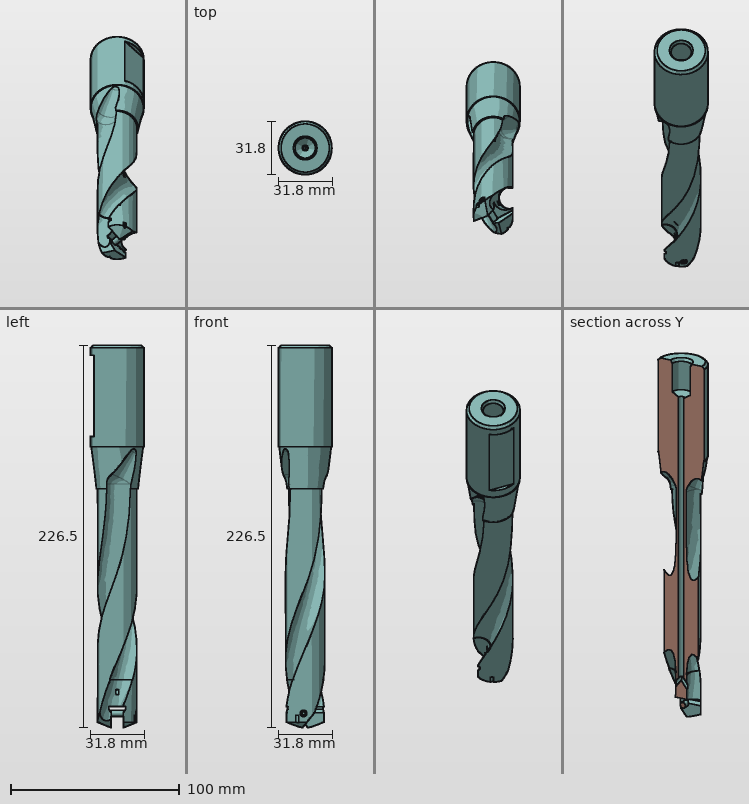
import cadquery as cq
import math

TOTAL_LENGTH = 226.53
SHANK_LENGTH = 60.0
CONE_LENGTH = 25.0
SHANK_BOTTOM = TOTAL_LENGTH - SHANK_LENGTH
CONE_BOTTOM = SHANK_BOTTOM - CONE_LENGTH

SHANK_RADIUS = 31.75 / 2
SHANK_CHAMFER = 1.6
CONE_TOP_RADIUS = 15.5
CONE_BOTTOM_RADIUS = 12.4
BODY_RADIUS = 11.7

FLAT_DEPTH = 2.0
FLAT_TOP = TOTAL_LENGTH - 6.0
FLAT_BOTTOM = SHANK_BOTTOM + 6.0

INLET_RADIUS = 6.0
INLET_DEPTH = 20.0
INLET_CHAMFER = 1.0
INLET_CHAMFER_DEPTH = 2.0
DRILL_POINT_SLOPE = math.tan(math.radians(31))
CHANNEL_RADIUS = 1.7
BRANCH_RADIUS = 1.0
BRANCH_OVERRUN = 3.0
BRANCH_TOP = 26.0
BRANCH_EXIT = 21.5

FLUTE_COUNT = 2
FLUTE_RADIUS = 7.2
FLUTE_OFFSET = 10.7
FLUTE_TOP = 144.5
FLUTE_STEP = 28.5
TIP_FLUTE_RADIUS = 6.9
FLUTE_BOTTOM = -4.0
FLUTE_START_ANGLE = 185.0
FLUTE_TWIST_RATE = 2.08
TWIST_RAMP_LENGTH = 68.0

RUNOUT_END_RADIUS = 3.0
RUNOUT_END_Z = 162.5
RUNOUT_END_X = -13.0
RUNOUT_END_Y = -10.6

SLOT_WIDTH = 7.2
POINT_SLOPE = math.tan(math.radians(23.2))
SEAT_WIDTH = 9.8
SEAT_TAPER_BOTTOM = 8.9
SEAT_TAPER_TOP = 11.0
SEAT_TOP = 12.6

GASH_UPPER = (5.5, 8.9)
GASH_LOWER = (-1.6, 0.0)
GASH_MARGIN = 1.5

NOTCH_X = (-5.8, -3.8)
NOTCH_Y = (-10.3, -10.0)
NOTCH_TOP = 7.4

SCREW_X = -1.0
SCREW_Z = 8.5
SCREW_RADIUS = 1.9
SCREW_HEAD_Y = -11.0
SCREW_END_Y = SLOT_WIDTH / 2
SOCKET_RADIUS = 1.0
SOCKET_DEPTH = 2.0

MARGIN = 5.0
HALF_TURN = 180.0
GUIDE_POINTS = 60


def both_sides(cutter):
    return [cutter.rotate((0, 0, 0), (0, 0, 1), i * HALF_TURN) for i in range(FLUTE_COUNT)]


def cut_both_sides(body, cutter):
    for copy in both_sides(cutter):
        body = body.cut(copy)
    return body


def turned_blank():
    point_radius = math.hypot(SLOT_WIDTH / 2, GASH_LOWER[0])
    point_rise = (BODY_RADIUS - point_radius) * POINT_SLOPE
    return (
        cq.Workplane("XZ")
        .moveTo(0, -point_radius * POINT_SLOPE)
        .lineTo(BODY_RADIUS, point_rise)
        .lineTo(BODY_RADIUS, CONE_BOTTOM)
        .lineTo(CONE_BOTTOM_RADIUS, CONE_BOTTOM)
        .lineTo(CONE_TOP_RADIUS, SHANK_BOTTOM)
        .lineTo(SHANK_RADIUS, SHANK_BOTTOM)
        .lineTo(SHANK_RADIUS, TOTAL_LENGTH - SHANK_CHAMFER)
        .lineTo(SHANK_RADIUS - SHANK_CHAMFER, TOTAL_LENGTH)
        .lineTo(0, TOTAL_LENGTH)
        .close()
        .revolve(360, (0, 0, 0), (0, 1, 0))
    )


def shank_flat():
    height = FLAT_TOP - FLAT_BOTTOM
    return cq.Workplane("XY").box(
        2 * SHANK_RADIUS, FLAT_DEPTH + MARGIN, height, centered=(True, False, False)
    ).translate((0, SHANK_RADIUS - FLAT_DEPTH, FLAT_BOTTOM))


def coolant_inlet():
    cone_bottom = TOTAL_LENGTH - INLET_DEPTH - INLET_RADIUS * DRILL_POINT_SLOPE
    bore = (
        cq.Workplane("XZ")
        .moveTo(0, TOTAL_LENGTH)
        .lineTo(INLET_RADIUS + INLET_CHAMFER, TOTAL_LENGTH)
        .lineTo(INLET_RADIUS, TOTAL_LENGTH - INLET_CHAMFER_DEPTH)
        .lineTo(INLET_RADIUS, TOTAL_LENGTH - INLET_DEPTH)
        .lineTo(0, cone_bottom)
        .close()
        .revolve(360, (0, 0, 0), (0, 1, 0))
    )
    channel_length = TOTAL_LENGTH - INLET_DEPTH - BRANCH_TOP
    channel = cq.Workplane("XY").circle(CHANNEL_RADIUS).extrude(channel_length)
    return bore.union(channel.translate((0, 0, BRANCH_TOP)))


def flute_angle(z):
    """Direction of the flute in degrees at height z."""
    below = FLUTE_TOP - z
    if below < TWIST_RAMP_LENGTH:
        turned = below**2 / (2 * TWIST_RAMP_LENGTH)
    else:
        turned = below - TWIST_RAMP_LENGTH / 2
    return FLUTE_START_ANGLE - FLUTE_TWIST_RATE * turned


def polar(radius, angle, z):
    return cq.Vector(
        radius * math.cos(math.radians(angle)), radius * math.sin(math.radians(angle)), z
    )


def flute_cutter(radius, top, bottom):
    """Round cutter that follows the helix from one height down to another."""

    def guide_point(t):
        z = top - t * (top - bottom)
        return polar(FLUTE_OFFSET, flute_angle(z), z).toTuple()

    guide = cq.Workplane("XY").parametricCurve(guide_point, N=GUIDE_POINTS, makeWire=True)
    axis = cq.Workplane("XY").polyline([(0, 0, top), (0, 0, bottom)])
    center = polar(FLUTE_OFFSET, flute_angle(top), 0)
    return (
        cq.Workplane("XY", origin=(0, 0, top))
        .moveTo(center.x, center.y)
        .circle(radius)
        .sweep(axis, auxSpine=guide)
    )


def flute_runout():
    """Cone from the flute's upper end to a narrow end in the side of the cone."""
    start = polar(FLUTE_OFFSET, FLUTE_START_ANGLE, FLUTE_TOP)
    end = cq.Vector(RUNOUT_END_X, RUNOUT_END_Y, RUNOUT_END_Z)
    path = end - start
    cone = cq.Solid.makeCone(FLUTE_RADIUS, RUNOUT_END_RADIUS, path.Length, start, path)
    start_ball = cq.Workplane("XY").sphere(FLUTE_RADIUS).translate(start.toTuple())
    end_ball = cq.Workplane("XY").sphere(RUNOUT_END_RADIUS).translate(end.toTuple())
    return cq.Workplane(cone).union(start_ball).union(end_ball)


def coolant_branch():
    start = cq.Vector(0, 0, BRANCH_TOP)
    end = polar(FLUTE_OFFSET - FLUTE_RADIUS, flute_angle(BRANCH_EXIT), BRANCH_EXIT)
    path = end - start
    length = path.Length + BRANCH_OVERRUN
    return cq.Workplane(cq.Solid.makeCylinder(BRANCH_RADIUS, length, start, path))


def blade_seat():
    half_slot = SLOT_WIDTH / 2
    half_seat = SEAT_WIDTH / 2
    return (
        cq.Workplane("YZ")
        .moveTo(-half_slot, -MARGIN)
        .lineTo(-half_slot, SEAT_TAPER_BOTTOM)
        .lineTo(-half_seat, SEAT_TAPER_TOP)
        .lineTo(-half_seat, SEAT_TOP)
        .lineTo(half_seat, SEAT_TOP)
        .lineTo(half_seat, SEAT_TAPER_TOP)
        .lineTo(half_slot, SEAT_TAPER_BOTTOM)
        .lineTo(half_slot, -MARGIN)
        .close()
        .extrude(BODY_RADIUS + MARGIN, both=True)
    )


def jaw_gash():
    slope = (GASH_UPPER[0] - GASH_LOWER[0]) / (GASH_UPPER[1] - GASH_LOWER[1])
    right = BODY_RADIUS + MARGIN
    return (
        cq.Workplane("XZ")
        .moveTo(*GASH_UPPER)
        .lineTo(GASH_LOWER[0] - GASH_MARGIN * slope, GASH_LOWER[1] - GASH_MARGIN)
        .lineTo(right, GASH_LOWER[1] - GASH_MARGIN)
        .lineTo(right, GASH_UPPER[1])
        .close()
        .extrude(BODY_RADIUS + MARGIN)
    )


def jaw_notch():
    outside = -BODY_RADIUS - MARGIN
    return (
        cq.Workplane("XY", origin=(0, 0, -MARGIN))
        .moveTo(NOTCH_X[0], NOTCH_Y[0])
        .lineTo(NOTCH_X[1], NOTCH_Y[1])
        .lineTo(NOTCH_X[1], outside)
        .lineTo(NOTCH_X[0], outside)
        .close()
        .extrude(NOTCH_TOP + MARGIN)
    )


def rod_along_y(radius, start_y, end_y):
    return (
        cq.Workplane("XZ", origin=(0, end_y, 0))
        .center(SCREW_X, SCREW_Z)
        .circle(radius)
        .extrude(end_y - start_y)
    )


def drill_body():
    body = turned_blank().cut(shank_flat()).cut(coolant_inlet())
    paired_cutters = [
        flute_cutter(FLUTE_RADIUS, FLUTE_TOP, FLUTE_STEP),
        flute_cutter(TIP_FLUTE_RADIUS, FLUTE_STEP, FLUTE_BOTTOM),
        flute_runout(),
        coolant_branch(),
        jaw_gash(),
        jaw_notch(),
    ]
    for cutter in paired_cutters:
        body = cut_both_sides(body, cutter)
    body = body.cut(blade_seat())
    return body.cut(rod_along_y(SCREW_RADIUS, -BODY_RADIUS - MARGIN, SCREW_END_Y))


def clamp_screw():
    rod = rod_along_y(SCREW_RADIUS, SCREW_HEAD_Y, SCREW_END_Y)
    socket = rod_along_y(SOCKET_RADIUS, SCREW_HEAD_Y, SCREW_HEAD_Y + SOCKET_DEPTH)
    return rod.cut(socket)


body = drill_body()
screw = clamp_screw()
result = cq.Compound.makeCompound([body.val(), screw.val()])